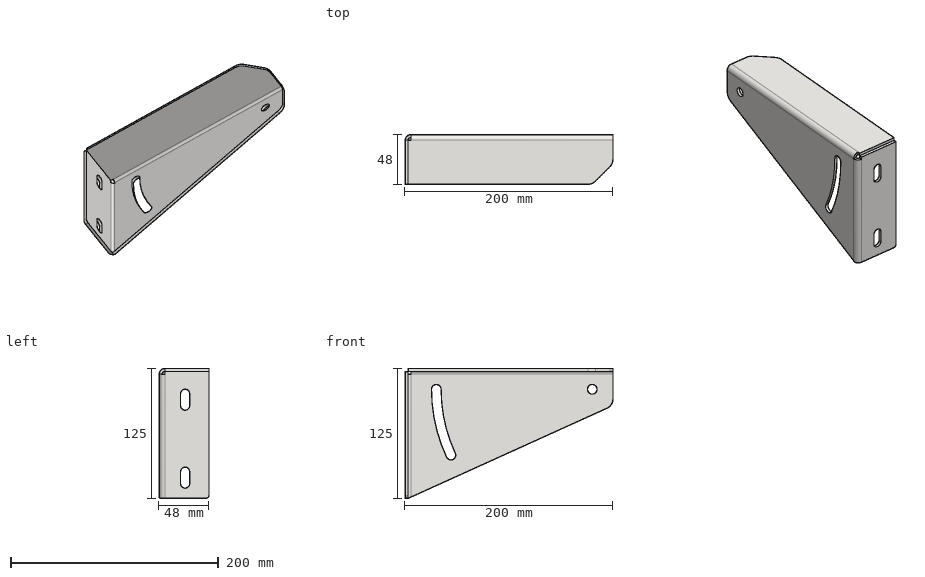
import cadquery as cq
import math

length = 200.0
width = 48.0
height = 125.0

sheet = 3.0
bend_inner = 2.5
bend_outer = bend_inner + sheet

web_end_height = 35.7
web_toe_x = sheet
web_corner_radius = 10.0

arm_chamfer = 20.0
arm_corner_radius = 10.0
select_margin = 1.0

wall_corner_radius = 3.0
wall_slot_y = 23.0
wall_slot_width = 8.5
wall_slot_length = 20.0
wall_slot_heights = (20.0, 95.0)

pivot_x = 180.0
pivot_z = 105.0
pivot_diameter = 9.0
arc_slot_radius = 150.0
arc_slot_sweep = 25.0
arc_slot_width = 9.0


def bent_strip(plane, strip_length):
    """L-strip: quarter bend plus flange, flange outer face on the plane's local Y = 0,
    web outer face on local X = width. The bend stops where the web begins."""
    bend_start = width - bend_outer
    middle = math.sqrt(0.5)
    return (
        cq.Workplane(plane)
        .moveTo(0, 0)
        .lineTo(bend_start, 0)
        .threePointArc(
            (bend_start + bend_outer * middle, bend_outer - bend_outer * middle),
            (width, bend_outer),
        )
        .lineTo(width - sheet, bend_outer)
        .threePointArc(
            (bend_start + bend_inner * middle, bend_outer - bend_inner * middle),
            (bend_start, sheet),
        )
        .lineTo(0, sheet)
        .close()
        .extrude(strip_length)
    )


def make_web():
    """Rectangular blank of the web, bounded by the two bends."""
    return (
        cq.Workplane("XZ", origin=(0, width, 0))
        .rect(length - bend_outer, height - bend_outer, centered=False)
        .extrude(sheet)
        .translate((bend_outer, 0, 0))
    )


def make_slope_cutter():
    """Everything below the sloping edge, cut through the web and the bend beside it."""
    return (
        cq.Workplane("XZ", origin=(0, width, 0))
        .moveTo(web_toe_x, 0)
        .lineTo(length, height - web_end_height)
        .lineTo(length, 0)
        .close()
        .extrude(bend_outer)
    )


def make_top_flange():
    """Top flange with its bend; the flat part reaches past the bend toward the wall."""
    plane = cq.Plane(origin=(bend_outer, 0, height), xDir=(0, 1, 0), normal=(-1, 0, 0))
    strip = bent_strip(plane, -(length - bend_outer))
    tongue = cq.Workplane("XY").box(
        bend_outer - sheet, width - bend_outer, sheet, centered=False
    ).translate((sheet, 0, height - sheet))
    corner_cut = (
        cq.Workplane("XY", origin=(0, 0, height - sheet))
        .moveTo(length, 0)
        .lineTo(length - arm_chamfer, 0)
        .lineTo(length, arm_chamfer)
        .close()
        .extrude(sheet)
    )
    flange = strip.union(tongue).cut(corner_cut)
    chamfer_ends = cq.selectors.BoxSelector(
        (length - arm_chamfer - select_margin, -select_margin, height - sheet),
        (length + select_margin, arm_chamfer + select_margin, height),
    )
    return flange.edges("|Z").edges(chamfer_ends).fillet(arm_corner_radius)


def make_wall_flange():
    """Wall flange with its bend, a rounded lower corner and two vertical slots."""
    plane = cq.Plane(origin=(0, 0, 0), xDir=(0, 1, 0), normal=(0, 0, -1))
    strip = bent_strip(plane, -(height - bend_outer))
    tongue = cq.Workplane("XY").box(
        sheet, width - bend_outer, bend_outer - sheet, centered=False
    ).translate((0, 0, height - bend_outer))
    flange = strip.union(tongue)
    flange = flange.edges("|X and <Y and <Z").fillet(wall_corner_radius)
    slots = (
        cq.Workplane("YZ")
        .pushPoints([(wall_slot_y, z) for z in wall_slot_heights])
        .slot2D(wall_slot_length, wall_slot_width, 90)
        .extrude(sheet)
    )
    return flange.cut(slots)


def arc_point(radius, degrees):
    """Point on a circle about the pivot, measured downward from the -X direction."""
    angle = math.radians(degrees)
    return (pivot_x - radius * math.cos(angle), pivot_z - radius * math.sin(angle))


def make_arc_slot():
    """Round-ended slot that follows a circle about the pivot."""
    half = arc_slot_width / 2
    inner = arc_slot_radius - half
    outer = arc_slot_radius + half
    end_cap = math.degrees(half / arc_slot_radius)
    return (
        cq.Workplane("XZ", origin=(0, width, 0))
        .moveTo(*arc_point(outer, 0))
        .threePointArc(arc_point(outer, arc_slot_sweep / 2), arc_point(outer, arc_slot_sweep))
        .threePointArc(
            arc_point(arc_slot_radius, arc_slot_sweep + end_cap), arc_point(inner, arc_slot_sweep)
        )
        .threePointArc(arc_point(inner, arc_slot_sweep / 2), arc_point(inner, 0))
        .threePointArc(arc_point(arc_slot_radius, -end_cap), arc_point(outer, 0))
        .close()
        .extrude(sheet)
    )


def make_pivot_hole():
    """Round hole through the web near the free end."""
    return (
        cq.Workplane("XZ", origin=(0, width, 0))
        .center(pivot_x, pivot_z)
        .circle(pivot_diameter / 2)
        .extrude(sheet)
    )


bracket = make_web().union(make_top_flange()).union(make_wall_flange())
bracket = bracket.cut(make_slope_cutter())
web_corner = cq.selectors.NearestToPointSelector(
    (length, width - sheet / 2, height - web_end_height)
)
bracket = bracket.edges(web_corner).fillet(web_corner_radius)
result = bracket.cut(make_pivot_hole()).cut(make_arc_slot())